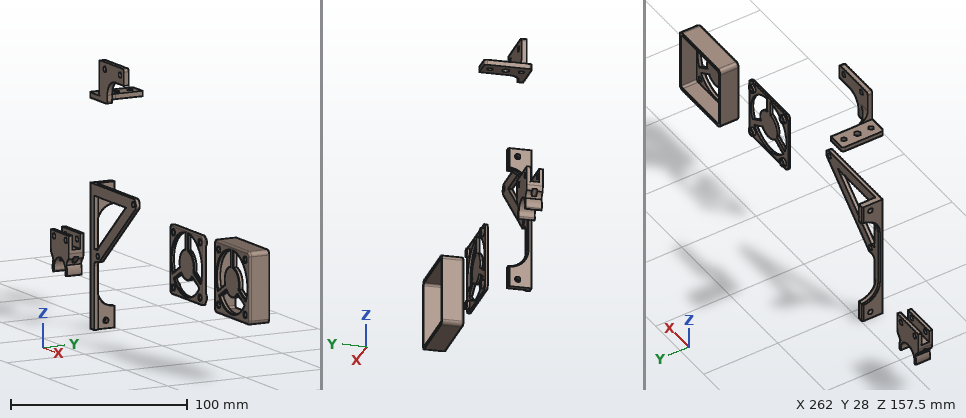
import cadquery as cq
import math

SCREW_HOLE = 3.1


def front_plane(y=0):
    """XZ sketch plane at depth y; positive extrusions from it run toward -Y."""
    return cq.Workplane("XZ", origin=(0, y, 0))


def drill_along_y(body, points, diameter, start_y, depth):
    """Cut round holes at the (x, z) points, running from start_y toward +Y."""
    cutters = front_plane(start_y).pushPoints(points).circle(diameter / 2).extrude(-depth)
    return body.cut(cutters)


CLIP_WIDTH = 22.0
CLIP_FRONT = 12.0
CLIP_DEPTH = 9.5
CLIP_TOP = 44.3
CLIP_CENTRE_X = CLIP_WIDTH / 2
TUBE_Z = 22.3
TUBE_RADIUS = 6.8
JAW_OUTER_RADIUS = 9.0
JAW_TIP_ANGLE = 12
SHOULDER_START_Z = 33.3
SHOULDER_RADIUS = 10.5
SHOULDER_Z = 29.9
NECK_BOW = 0.5
NECK_END_ANGLE = 155
CLIP_SLOT_WIDTH = 5.0
CLIP_SLOT_FLOOR = 35.5
CLIP_HOLE_OFFSET = 7.0
CLIP_HOLE_Z = 40.3
CLIP_FRONT_WALL_DROP = 0.8
TIE_SLOT_ANGLE = 36
TIE_SLOT_WIDTH = 3.1
TIE_SLOT_HEIGHT = 1.5


def around_tube(radius, degrees):
    """Point at a polar position about the tube axis, with x measured from the clip centre."""
    angle = math.radians(degrees)
    return (radius * math.cos(angle), TUBE_Z + radius * math.sin(angle))


def shoulder_point(angle):
    """Point on the round left shoulder after turning by an angle from the straight side."""
    x = -CLIP_WIDTH / 2 + SHOULDER_RADIUS * (1 - math.cos(angle))
    return (x, SHOULDER_START_Z - SHOULDER_RADIUS * math.sin(angle))


def left_side_arcs():
    """Alternating end and middle points of the arcs from the left shoulder to the jaw's inner face."""
    shoulder_turn = math.asin((SHOULDER_START_Z - SHOULDER_Z) / SHOULDER_RADIUS)
    shoulder_end = shoulder_point(shoulder_turn)
    neck_end = around_tube(JAW_OUTER_RADIUS, NECK_END_ANGLE)
    neck_middle = (
        (shoulder_end[0] + neck_end[0]) / 2 + NECK_BOW,
        (shoulder_end[1] + neck_end[1]) / 2,
    )
    tip_angle = 180 + JAW_TIP_ANGLE
    tip_radius = (JAW_OUTER_RADIUS - TUBE_RADIUS) / 2
    tip_x, tip_z = around_tube(TUBE_RADIUS + tip_radius, tip_angle)
    tip_turn = math.radians(JAW_TIP_ANGLE)
    tip_end = (tip_x + tip_radius * math.sin(tip_turn), tip_z - tip_radius * math.cos(tip_turn))
    return [
        shoulder_point(0),
        shoulder_point(shoulder_turn / 2),
        shoulder_end,
        neck_middle,
        neck_end,
        around_tube(JAW_OUTER_RADIUS, 180),
        around_tube(JAW_OUTER_RADIUS, tip_angle),
        tip_end,
        around_tube(TUBE_RADIUS, tip_angle),
    ]


def clip_block():
    """Clip without its slot and holes: straight top, then arcs down one side and up the other."""
    left = left_side_arcs()
    right = [(-x, z) for x, z in reversed(left)]
    arcs = left + [(0, TUBE_Z + TUBE_RADIUS)] + right
    outline = (
        cq.Workplane("XZ", origin=(CLIP_CENTRE_X, CLIP_FRONT, 0))
        .moveTo(CLIP_WIDTH / 2, CLIP_TOP)
        .lineTo(-CLIP_WIDTH / 2, CLIP_TOP)
        .lineTo(*arcs[0])
    )
    for middle, end in zip(arcs[1::2], arcs[2::2]):
        outline = outline.threePointArc(middle, end)
    return outline.close().extrude(-CLIP_DEPTH)


def tie_slot(side):
    """Cutter for the round-ended slot through one neck, aimed at the tube axis."""
    angle = math.radians(TIE_SLOT_ANGLE)
    plane = cq.Plane(
        origin=(CLIP_CENTRE_X, CLIP_FRONT + CLIP_DEPTH / 2, TUBE_Z),
        xDir=(0, 1, 0),
        normal=(side * math.cos(angle), 0, math.sin(angle)),
    )
    return cq.Workplane(plane).slot2D(TIE_SLOT_WIDTH, TIE_SLOT_HEIGHT).extrude(CLIP_WIDTH)


def tube_clip():
    body = clip_block()
    slot_height = CLIP_TOP - CLIP_SLOT_FLOOR
    slot = cq.Workplane("XY").box(CLIP_WIDTH, CLIP_SLOT_WIDTH, slot_height, centered=(False, True, False))
    body = body.cut(slot.translate((0, CLIP_FRONT + CLIP_DEPTH / 2, CLIP_SLOT_FLOOR)))
    wall_top = cq.Workplane("XY").box(
        CLIP_WIDTH, CLIP_DEPTH / 2, CLIP_FRONT_WALL_DROP, centered=False
    )
    body = body.cut(wall_top.translate((0, CLIP_FRONT, CLIP_TOP - CLIP_FRONT_WALL_DROP)))
    for side in (-1, 1):
        body = body.cut(tie_slot(side))
    points = [(CLIP_CENTRE_X + side * CLIP_HOLE_OFFSET, CLIP_HOLE_Z) for side in (-1, 1)]
    return drill_along_y(body, points, SCREW_HOLE, CLIP_FRONT, CLIP_DEPTH)


PLATE_LEFT = 69.0
PLATE_WIDTH = 12.0
PLATE_DEPTH = 28.0
PLATE_HOLE_OFFSET = 9.2
PLATE_CENTRE_HOLE = 4.0
BRACKET_BOTTOM = 133.5
BRACKET_TOP = 157.5
BRACKET_THICKNESS = 3.1
WALL_LEFT = PLATE_LEFT + PLATE_WIDTH
WALL_RIGHT = 110.8
FOOT_RIGHT = 91.0
ARM_BOTTOM = 147.8
ARM_CURVE_RADIUS = 9.0
BRACKET_CORNER = 1.5
GUSSET_RADIUS = 7.3
ARM_HOLES_X = (87.8, 106.0)
ARM_HOLE_Z = 153.3


def bracket_plate():
    plate = (
        cq.Workplane("XY", origin=(PLATE_LEFT, 0, BRACKET_BOTTOM))
        .rect(PLATE_WIDTH, PLATE_DEPTH, centered=False)
        .extrude(BRACKET_THICKNESS)
        .edges("|Z and <X")
        .fillet(BRACKET_CORNER)
    )
    holes = cq.Workplane("XY", origin=(PLATE_LEFT + PLATE_WIDTH / 2, PLATE_DEPTH / 2, BRACKET_BOTTOM))
    screw_points = [(0, -PLATE_HOLE_OFFSET), (0, PLATE_HOLE_OFFSET)]
    plate = plate.cut(holes.pushPoints(screw_points).circle(SCREW_HOLE / 2).extrude(BRACKET_THICKNESS))
    return plate.cut(holes.circle(PLATE_CENTRE_HOLE / 2).extrude(BRACKET_THICKNESS))


def bracket_wall():
    wall = (
        front_plane()
        .moveTo(WALL_LEFT, BRACKET_BOTTOM)
        .lineTo(FOOT_RIGHT, BRACKET_BOTTOM)
        .lineTo(FOOT_RIGHT, ARM_BOTTOM)
        .lineTo(WALL_RIGHT, ARM_BOTTOM)
        .lineTo(WALL_RIGHT, BRACKET_TOP)
        .lineTo(WALL_LEFT, BRACKET_TOP)
        .close()
        .extrude(-BRACKET_THICKNESS)
    )
    inner_corner = cq.selectors.NearestToPointSelector((FOOT_RIGHT, BRACKET_THICKNESS / 2, ARM_BOTTOM))
    wall = wall.edges(inner_corner).fillet(ARM_CURVE_RADIUS)
    for x, z in ((WALL_LEFT, BRACKET_TOP), (WALL_RIGHT, BRACKET_TOP), (FOOT_RIGHT, BRACKET_BOTTOM)):
        corner = cq.selectors.NearestToPointSelector((x, BRACKET_THICKNESS / 2, z))
        wall = wall.edges(corner).fillet(BRACKET_CORNER)
    points = [(x, ARM_HOLE_Z) for x in ARM_HOLES_X]
    return drill_along_y(wall, points, SCREW_HOLE, 0, BRACKET_THICKNESS)


def concave_corner(plane, origin, radius, depth):
    """Prism filling an inside corner at origin with a concave quarter round."""
    bulge = radius * (1 - math.sqrt(0.5))
    return (
        cq.Workplane(plane, origin=origin)
        .lineTo(radius, 0)
        .threePointArc((bulge, bulge), (0, radius))
        .close()
        .extrude(depth)
    )


def bracket_gusset():
    """Corner web that thins out both along the wall and up from the plate."""
    top_z = BRACKET_BOTTOM + BRACKET_THICKNESS
    height = BRACKET_THICKNESS + GUSSET_RADIUS
    plan = concave_corner("XY", (WALL_LEFT, BRACKET_THICKNESS, BRACKET_BOTTOM), GUSSET_RADIUS, height)
    side = concave_corner("YZ", (WALL_LEFT, BRACKET_THICKNESS, top_z), GUSSET_RADIUS, GUSSET_RADIUS)
    plate_level = cq.Workplane("XY").box(GUSSET_RADIUS, GUSSET_RADIUS, BRACKET_THICKNESS, centered=False)
    plate_level = plate_level.translate((WALL_LEFT, BRACKET_THICKNESS, BRACKET_BOTTOM))
    return plan.intersect(side.union(plate_level))


def upper_bracket():
    return bracket_plate().union(bracket_wall()).union(bracket_gusset())


POST_LEFT = 70.5
POST_WIDTH = 4.7
FRAME_TOP = 84.5
FRAME_THICKNESS = 2.5
LUG_RADIUS = 3.5
TIP_HOLE = (122.0, FRAME_TOP - LUG_RADIUS)
LOWER_HOLE = (79.5, 43.5)
STUB_FILLET = 2.5
FLANGE_DEPTH = 13.5
FLANGE_THICKNESS = 3.7
FLANGE_CURVE_RADIUS = FLANGE_DEPTH - FRAME_THICKNESS
FLANGE_HEIGHT = 12.5
EDGE_CHAMFER = 0.8
FLANGE_HOLE_Y = 8.0
FLANGE_HOLE_INSET = 4.7


def frame_bar(x, z, length, height):
    return front_plane().moveTo(x, z).rect(length, height, centered=False).extrude(-FRAME_THICKNESS)


def frame_strut():
    """Diagonal bar with a round lug at each hole."""
    run = TIP_HOLE[0] - LOWER_HOLE[0]
    rise = TIP_HOLE[1] - LOWER_HOLE[1]
    middle = ((TIP_HOLE[0] + LOWER_HOLE[0]) / 2, (TIP_HOLE[1] + LOWER_HOLE[1]) / 2)
    slot_length = math.hypot(run, rise) + 2 * LUG_RADIUS
    angle = math.degrees(math.atan2(rise, run))
    return front_plane().center(*middle).slot2D(slot_length, 2 * LUG_RADIUS, angle).extrude(-FRAME_THICKNESS)


def frame_flange():
    """Side plate on the post: full depth at both ends, cut back in between by curves."""
    upper_end = FRAME_TOP - FLANGE_HEIGHT
    return (
        cq.Workplane("YZ", origin=(POST_LEFT, 0, 0))
        .lineTo(FLANGE_DEPTH, 0)
        .lineTo(FLANGE_DEPTH, FLANGE_HEIGHT)
        .radiusArc((FRAME_THICKNESS, FLANGE_HEIGHT + FLANGE_CURVE_RADIUS), FLANGE_CURVE_RADIUS)
        .lineTo(FRAME_THICKNESS, upper_end - FLANGE_CURVE_RADIUS)
        .radiusArc((FLANGE_DEPTH, upper_end), FLANGE_CURVE_RADIUS)
        .lineTo(FLANGE_DEPTH, FRAME_TOP)
        .lineTo(0, FRAME_TOP)
        .close()
        .extrude(FLANGE_THICKNESS)
    )


def flange_holes():
    """Cutters for the screw holes near the two ends of the flange."""
    return (
        cq.Workplane("YZ", origin=(POST_LEFT, FLANGE_HOLE_Y, 0))
        .pushPoints([(0, FLANGE_HOLE_INSET), (0, FRAME_TOP - FLANGE_HOLE_INSET)])
        .circle(SCREW_HOLE / 2)
        .extrude(FLANGE_THICKNESS)
    )


def chamfer_back_edge(body):
    """Bevel the edge between the left face and the stepped back of the post and flange."""
    margin = EDGE_CHAMFER / 2
    back_edges = cq.selectors.BoxSelector(
        (POST_LEFT - margin, FRAME_THICKNESS - margin, margin),
        (POST_LEFT + margin, FLANGE_DEPTH + margin, FRAME_TOP - margin),
    )
    return body.faces("<X").edges(back_edges).chamfer(EDGE_CHAMFER)


def triangle_frame():
    post = frame_bar(POST_LEFT, 0, POST_WIDTH, FRAME_TOP)
    top_bar = frame_bar(POST_LEFT, FRAME_TOP - 2 * LUG_RADIUS, TIP_HOLE[0] - POST_LEFT, 2 * LUG_RADIUS)
    stub_bottom = LOWER_HOLE[1] - LUG_RADIUS
    stub = frame_bar(POST_LEFT, stub_bottom, LOWER_HOLE[0] - POST_LEFT, 2 * LUG_RADIUS)
    body = post.union(top_bar).union(stub).union(frame_strut())
    stub_corner = cq.selectors.NearestToPointSelector(
        (POST_LEFT + POST_WIDTH, FRAME_THICKNESS / 2, stub_bottom)
    )
    body = body.edges(stub_corner).fillet(STUB_FILLET)
    body = drill_along_y(body, [TIP_HOLE, LOWER_HOLE], SCREW_HOLE, 0, FRAME_THICKNESS)
    body = chamfer_back_edge(body.union(frame_flange()))
    return body.cut(flange_holes())


FAN_CENTRE_Z = 58.2
FAN_HOLE_SPACING = 32.0
HUB_RADIUS = 9.0
BORE_RADIUS = 18.3
SPOKE_ANGLES = (90, 210, 330)
OPENING_CHAMFER = 0.4

GUARD_CENTRE_X = 186.3
GUARD_SIZE = 40.3
GUARD_THICKNESS = 1.8
GUARD_CORNER = 2.5
GUARD_EDGE_ROUND = 0.8
GUARD_SPOKE = 3.7
GUARD_BOSS_DIAMETER = 5.0
GUARD_BOSS_HEIGHT = 1.5

BOX_SIZE = 42.5
BOX_CENTRE_X = 262 - BOX_SIZE / 2
BOX_DEPTH = 12.8
BOX_CORNER = 2.5
BOX_SPOKE = 3.5
BOX_PANEL = 2.5
BOX_WALL = 1.8
BOX_CAVITY_CORNER = 1.3
BOX_EDGE_ROUND = 1.3


def fan_corner_points(centre_x):
    half = FAN_HOLE_SPACING / 2
    return [(centre_x + i * half, FAN_CENTRE_Z + j * half) for i in (-1, 1) for j in (-1, 1)]


def spoked_square(centre_x, size, depth, corner, edge_round, spoke_width, spoke_depth):
    """Square with a round opening, and a hub on three spokes flush with its front."""
    sketch = front_plane().center(centre_x, FAN_CENTRE_Z)
    frame = sketch.rect(size, size).extrude(-depth).edges("|Y").fillet(corner)
    frame = frame.faces("<Y").edges().fillet(edge_round)
    body = frame.cut(sketch.circle(BORE_RADIUS).extrude(-depth))
    body = body.union(sketch.circle(HUB_RADIUS).extrude(-spoke_depth))
    reach = BORE_RADIUS + spoke_width / 4
    for angle in SPOKE_ANGLES:
        spoke = cq.Workplane("XY").box(reach, spoke_depth, spoke_width, centered=(False, False, True))
        spoke = spoke.rotate((0, 0, 0), (0, -1, 0), angle)
        body = body.union(spoke.translate((centre_x, 0, FAN_CENTRE_Z)))
    return body


def chamfer_openings(body):
    """Bevel the front edges of the windows and screw holes."""
    edges = [edge for wire in body.faces("<Y").val().innerWires() for edge in wire.Edges()]
    return body.newObject(edges).chamfer(OPENING_CHAMFER)


def fan_guard():
    body = spoked_square(
        GUARD_CENTRE_X,
        GUARD_SIZE,
        GUARD_THICKNESS,
        GUARD_CORNER,
        GUARD_EDGE_ROUND,
        GUARD_SPOKE,
        GUARD_THICKNESS,
    )
    points = fan_corner_points(GUARD_CENTRE_X)
    bosses = front_plane(GUARD_THICKNESS).pushPoints(points).circle(GUARD_BOSS_DIAMETER / 2)
    body = body.union(bosses.extrude(-GUARD_BOSS_HEIGHT))
    body = drill_along_y(body, points, SCREW_HOLE, 0, GUARD_THICKNESS + GUARD_BOSS_HEIGHT)
    return chamfer_openings(body)


def fan_box():
    body = spoked_square(
        BOX_CENTRE_X, BOX_SIZE, BOX_DEPTH, BOX_CORNER, BOX_EDGE_ROUND, BOX_SPOKE, BOX_PANEL
    )
    cavity_size = BOX_SIZE - 2 * BOX_WALL
    cavity = front_plane(BOX_PANEL).center(BOX_CENTRE_X, FAN_CENTRE_Z).rect(cavity_size, cavity_size)
    body = body.cut(cavity.extrude(BOX_PANEL - BOX_DEPTH).edges("|Y").fillet(BOX_CAVITY_CORNER))
    body = drill_along_y(body, fan_corner_points(BOX_CENTRE_X), SCREW_HOLE, 0, BOX_PANEL)
    return chamfer_openings(body)


clip = tube_clip()
bracket = upper_bracket()
frame = triangle_frame()
guard = fan_guard()
box = fan_box()

bodies = [clip, bracket, frame, guard, box]
result = cq.Compound.makeCompound([body.solids().val() for body in bodies])